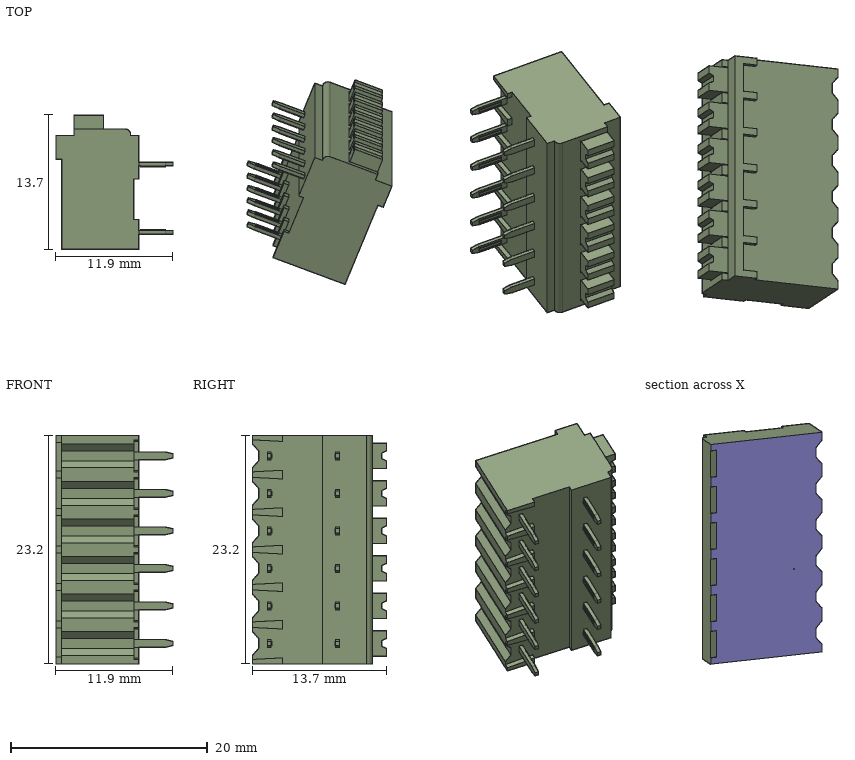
import cadquery as cq

pole_count = 6
height = 23.25
pitch = 3.81
first_pole_z = (height - (pole_count - 1) * pitch) / 2
pole_heights = [first_pole_z + i * pitch for i in range(pole_count)]

flange_depth = 0.58
body_right = 8.45
body_back = 11.58
flange_front = 9.14
ridge_left = 1.81
ridge_right = 7.6
ridge_back = 12.23
ridge_corner_radius = 0.55

notch_depth = 0.5
notch_front = 3.05
notch_back = 7.14
pocket_mouth = 3.25
pocket_inner = 2.93

groove_mouth = 2.42
groove_floor = 1.02
groove_depth = 0.63

finger_height = 0.72
window_back = 10.6

lever_left = 1.84
lever_width = 3.02
lever_height = 2.6
lever_back = 13.65
lever_notch_depth = 0.49
lever_notch_mouth = 1.02
lever_notch_floor = 0.55
slot_clearance = 0.081

pin_end = 11.9
pin_taper_start = 11.11
pin_height = 0.81
pin_tip_height = 0.45
pin_thickness = 0.4
front_pin_y = 1.72
back_pin_y = 8.67
bead_start = 8.58
bead_height = 0.4
bead_depth = 0.1


def box(x_range, y_range, z_range):
    """Axis-aligned box between three (low, high) ranges."""
    lows, highs = zip(x_range, y_range, z_range)
    sizes = [high - low for low, high in zip(lows, highs)]
    return cq.Workplane("XY").box(*sizes, centered=False).translate(lows)


def around(center, size):
    """(low, high) range of a size centred on a position."""
    return center - size / 2, center + size / 2


def trapezoid_prism(x_range, z, y_wide, wide, y_narrow, narrow):
    """Prism along X whose YZ section tapers from one height to another."""
    points = [
        (y_wide, z - wide / 2),
        (y_wide, z + wide / 2),
        (y_narrow, z + narrow / 2),
        (y_narrow, z - narrow / 2),
    ]
    prism = cq.Workplane("YZ").polyline(points).close().extrude(x_range[1] - x_range[0])
    return prism.translate((x_range[0], 0, 0))


def make_housing():
    body = box((0, body_right), (0, body_back), (0, height))
    body = body.cut(box((0, flange_depth), (0, flange_front), (0, height)))
    ridge = box((ridge_left, ridge_right), (body_back, ridge_back), (0, height))
    ridge = ridge.edges("|Z and >X and >Y").fillet(ridge_corner_radius)
    notch = box((body_right - notch_depth, body_right), (notch_front, notch_back), (0, height))
    return body.union(ridge).cut(notch)


def cut_pole_recesses(housing, z):
    groove = trapezoid_prism((0, body_right), z, 0, groove_mouth, groove_depth, groove_floor)
    pocket = trapezoid_prism(
        (body_right - notch_depth, body_right), z, 0, pocket_mouth, notch_front, pocket_inner
    )
    lever_slot = box(
        (ridge_left, lever_left + lever_width + slot_clearance),
        (body_back, ridge_back),
        around(z, lever_height + 2 * slot_clearance),
    )
    return housing.cut(groove).cut(pocket).cut(lever_slot)


def cut_flange_windows(housing):
    boundaries = [z + pitch / 2 for z in pole_heights[:-1]]
    lows = [finger_height] + [z + finger_height / 2 for z in boundaries]
    highs = [z - finger_height / 2 for z in boundaries] + [height - finger_height]
    for z_range in zip(lows, highs):
        housing = housing.cut(box((0, flange_depth), (flange_front, window_back), z_range))
    return housing


def make_lever(z):
    x_range = (lever_left, lever_left + lever_width)
    lever = box(x_range, (body_back, lever_back), around(z, lever_height))
    notch = trapezoid_prism(
        x_range, z, lever_back, lever_notch_mouth, lever_back - lever_notch_depth, lever_notch_floor
    )
    return lever.cut(notch)


def make_pin(y, z, inward):
    """Taper-tipped blade pin rooted at the pocket floor; inward is the Y sign of its bead side."""
    pin_start = body_right - notch_depth
    outline = [
        (pin_start, z - pin_height / 2),
        (pin_taper_start, z - pin_height / 2),
        (pin_end, z - pin_tip_height / 2),
        (pin_end, z + pin_tip_height / 2),
        (pin_taper_start, z + pin_height / 2),
        (pin_start, z + pin_height / 2),
    ]
    blade = cq.Workplane("XZ").polyline(outline).close().extrude(pin_thickness / 2, both=True)
    bead_y = sorted((0, inward * (pin_thickness / 2 + bead_depth)))
    bead = box((bead_start, pin_taper_start), bead_y, around(z, bead_height))
    return blade.union(bead).translate((0, y, 0))


result = cut_flange_windows(make_housing())
for pole_z in pole_heights:
    result = cut_pole_recesses(result, pole_z)
for pole_z in pole_heights:
    result = result.union(make_lever(pole_z))
    result = result.union(make_pin(front_pin_y, pole_z, 1))
    result = result.union(make_pin(back_pin_y, pole_z, -1))